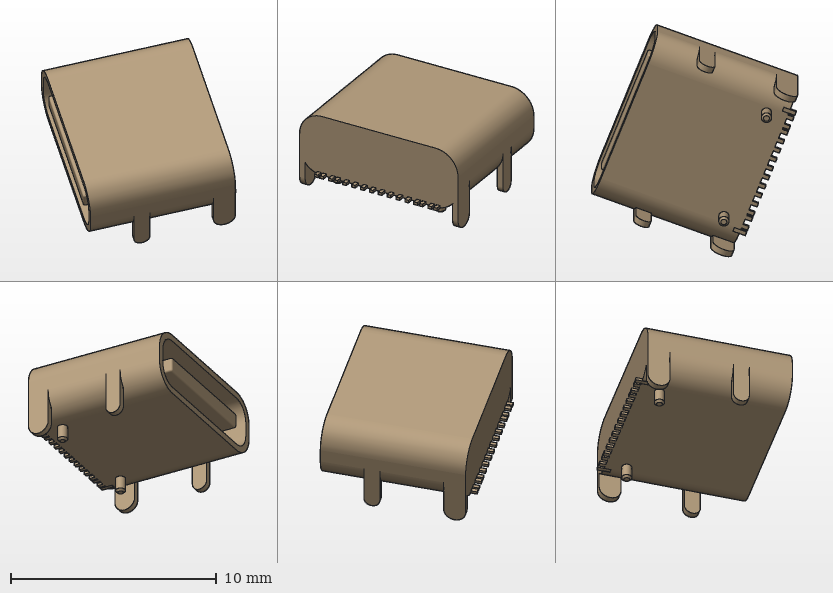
import cadquery as cq

WIDTH = 8.94
SHELL_HEIGHT = 3.25
SHELL_LENGTH = 7.31
CORNER_RADIUS = 1.27
WALL = 0.34
CAVITY_DEPTH = 6.2

TONGUE_WIDTH = 6.41
TONGUE_HEIGHT = 0.77
TONGUE_FILLET = 0.1

LEG_THICKNESS = 0.32
LEG_DROP = 0.99
REAR_LEG_WIDTH = 1.11
FRONT_LEG_WIDTH = 0.805
FRONT_LEG_FROM_REAR = 4.72

PEG_DIAMETER = 0.5
PEG_LENGTH = 0.78
PEG_CHAMFER = 0.11
PEG_OFFSET = 2.89
PEG_FROM_REAR = 1.03

TERMINAL_WIDTH = 0.21
TERMINAL_THICKNESS = 0.14
TERMINAL_LENGTH = 0.31
TERMINAL_PITCH = 0.5
SINGLES_PER_SIDE = 4
PAIR_CENTERS = (2.405, 3.2)
PAIR_SPACING = 0.3

MID_HEIGHT = SHELL_HEIGHT / 2
SIDE_FLAT_BOTTOM = CORNER_RADIUS
SIDES = (-1, 1)


def rounded_bar(width, height, radius, length):
    """Bar running from the front plane towards the rear, rounded along its length."""
    bar = cq.Workplane("XY").box(width, length, height, centered=(True, False, True))
    return bar.edges("|Y").fillet(radius).translate((0, 0, MID_HEIGHT))


def make_shell():
    outer = rounded_bar(WIDTH, SHELL_HEIGHT, CORNER_RADIUS, SHELL_LENGTH)
    cavity = rounded_bar(
        WIDTH - 2 * WALL, SHELL_HEIGHT - 2 * WALL, CORNER_RADIUS - WALL, CAVITY_DEPTH
    )
    return outer.cut(cavity)


def make_tongue():
    """Tongue growing forward from the cavity's rear wall, rounded on all its free edges."""
    tongue = cq.Workplane("XY").box(
        TONGUE_WIDTH, CAVITY_DEPTH, TONGUE_HEIGHT, centered=(True, False, True)
    )
    tongue = tongue.edges("|Y or <Y").fillet(TONGUE_FILLET)
    return tongue.translate((0, 0, MID_HEIGHT))


def make_leg(side, from_rear, width):
    """Tab with a fully rounded lower end, flush with the outer face of one side wall."""
    center_y = SHELL_LENGTH - from_rear
    radius = width / 2
    outer_x = side * WIDTH / 2
    return (
        cq.Workplane("YZ", origin=(outer_x, 0, 0))
        .moveTo(center_y - radius, SIDE_FLAT_BOTTOM)
        .lineTo(center_y - radius, radius - LEG_DROP)
        .threePointArc((center_y, -LEG_DROP), (center_y + radius, radius - LEG_DROP))
        .lineTo(center_y + radius, SIDE_FLAT_BOTTOM)
        .close()
        .extrude(-side * LEG_THICKNESS)
    )


def make_peg(side):
    """Round peg with a chamfered tip, hanging from the shell's underside."""
    peg = cq.Workplane("XY").circle(PEG_DIAMETER / 2).extrude(-PEG_LENGTH)
    peg = peg.faces("<Z").chamfer(PEG_CHAMFER)
    return peg.translate((side * PEG_OFFSET, SHELL_LENGTH - PEG_FROM_REAR, 0))


def terminal_offsets():
    """Distances of the terminals from the middle, on one side."""
    singles = [(i + 0.5) * TERMINAL_PITCH for i in range(SINGLES_PER_SIDE)]
    pairs = [center + s * PAIR_SPACING / 2 for center in PAIR_CENTERS for s in SIDES]
    return singles + pairs


def make_terminal(x):
    """Flat terminal, rooted in the bottom wall and protruding behind the shell."""
    root = WALL
    terminal = cq.Workplane("XY").box(
        TERMINAL_WIDTH, root + TERMINAL_LENGTH, TERMINAL_THICKNESS, centered=(True, False, False)
    )
    return terminal.translate((x, SHELL_LENGTH - root, 0))


result = make_shell().union(make_tongue())
for side in SIDES:
    result = result.union(make_leg(side, REAR_LEG_WIDTH / 2, REAR_LEG_WIDTH))
    result = result.union(make_leg(side, FRONT_LEG_FROM_REAR, FRONT_LEG_WIDTH))
    result = result.union(make_peg(side))
    for offset in terminal_offsets():
        result = result.union(make_terminal(side * offset))